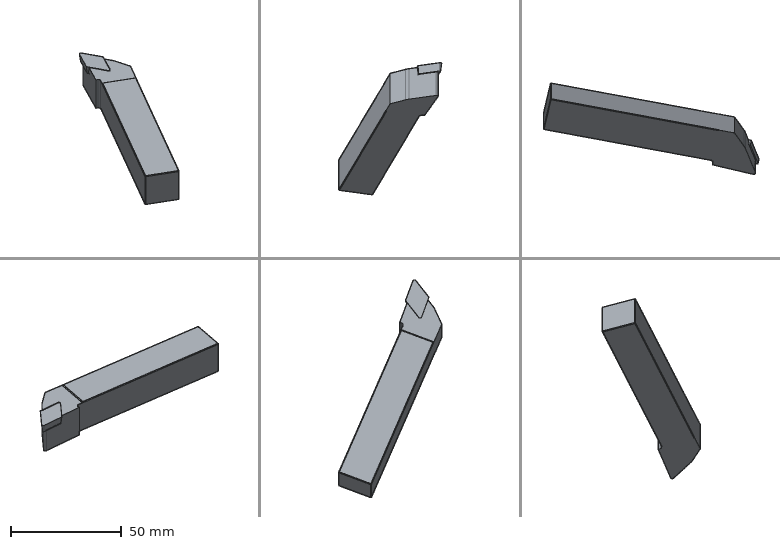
import cadquery as cq
import math

overall_length = 100.0
shank_size = 16.0
shank_front = 4.0
shank_back = shank_front + shank_size
edge_chamfer = 0.35

inch = 25.4
insert_circle = inch * 3 / 8
insert_thickness = 4.0
nose_radius = 0.8
nose_angle = 55.0
relief_angle = 7.0
lead_angle = 3.0
flank_angle = lead_angle + nose_angle

head_end = 24.7
head_drop = 0.3
rise_length = 0.5
step_x = 21.6
step_fillet = 1.0
bar_start = step_x + step_fillet
back_corner_x = 15.3
back_slope_end = (9.2, 13.8)
back_blend_radius = 7.0
front_inset = 1.0
tip_radius = 0.8


def slope(angle):
    return math.tan(math.radians(angle))


def make_insert():
    """Rhombic insert whose acute noses touch X = 0 and Y = 0."""
    half_angle = math.radians(nose_angle / 2)
    bisector = math.radians(lead_angle + nose_angle / 2)
    nose_to_center = (insert_circle / 2 - nose_radius) / math.sin(half_angle)
    center_x = nose_radius + nose_to_center * math.cos(bisector)
    center_y = nose_radius + nose_to_center * math.sin(bisector)
    half_long = insert_circle / 2 / math.sin(half_angle)
    half_short = insert_circle / 2 / math.cos(half_angle)

    def place(along, across):
        x = center_x + along * math.cos(bisector) - across * math.sin(bisector)
        y = center_y + along * math.sin(bisector) + across * math.cos(bisector)
        return cq.Vector(x, y, shank_size)

    corners = [
        place(-half_long, 0),
        place(0, -half_short),
        place(half_long, 0),
        place(0, half_short),
    ]
    outline = cq.Wire.makePolygon(corners, close=True)
    noses = [v for v in outline.Vertices()
             if math.hypot(v.X - center_x, v.Y - center_y) > (half_long + half_short) / 2]
    face = cq.Face.makeFromWires(outline.fillet2D(nose_radius, noses))
    return cq.Workplane("XY").add(
        cq.Solid.extrudeLinear(face, cq.Vector(0, 0, -insert_thickness), relief_angle)
    )


def make_head():
    """Angled head, up to the start of the bar."""
    edge_y_at_zero = nose_radius - nose_radius / math.cos(math.radians(lead_angle))
    edge_y_at_zero -= nose_radius * slope(lead_angle)
    front_y_at_zero = edge_y_at_zero + front_inset
    step_y = front_y_at_zero + step_x * slope(lead_angle)
    flank_x, flank_y = back_slope_end
    tip_x = (front_y_at_zero - flank_y + flank_x * slope(flank_angle)) / (
        slope(flank_angle) - slope(lead_angle)
    )
    tip_y = front_y_at_zero + tip_x * slope(lead_angle)

    head = (
        cq.Workplane("XY")
        .moveTo(tip_x, tip_y)
        .lineTo(step_x, step_y)
        .lineTo(step_x, shank_front - step_fillet)
        .radiusArc((bar_start, shank_front), step_fillet)
        .lineTo(bar_start, shank_back)
        .lineTo(back_corner_x, shank_back)
        .lineTo(*back_slope_end)
        .close()
        .extrude(shank_size - head_drop)
    )
    head = fillet_upright_edge(head, tip_x, tip_y, tip_radius)
    return fillet_upright_edge(head, *back_slope_end, back_blend_radius)


def fillet_upright_edge(body, x, y, radius):
    middle = (x, y, shank_size / 2)
    return body.edges(cq.selectors.NearestToPointSelector(middle)).fillet(radius)


def make_shank():
    """Square bar with broken edges, its front end lowered to the head's top face."""
    shank = cq.Workplane("XY").box(
        overall_length - bar_start, shank_size, shank_size, centered=False
    ).translate((bar_start, shank_front, 0))
    shank = shank.edges("|X or >X").chamfer(edge_chamfer)
    head_top = shank_size - head_drop
    lowered = (
        cq.Workplane("XZ", origin=(0, shank_back, 0))
        .moveTo(bar_start, head_top)
        .lineTo(head_end, head_top)
        .lineTo(head_end + rise_length, shank_size)
        .lineTo(bar_start, shank_size)
        .close()
        .extrude(shank_size)
    )
    return shank.cut(lowered)


def make_holder(insert):
    """Head and shank as one body, with a pocket that fits the insert."""
    return make_head().union(make_shank()).cut(insert)


insert = make_insert()
holder = make_holder(insert)

result = cq.Compound.makeCompound([holder.val(), insert.val()])